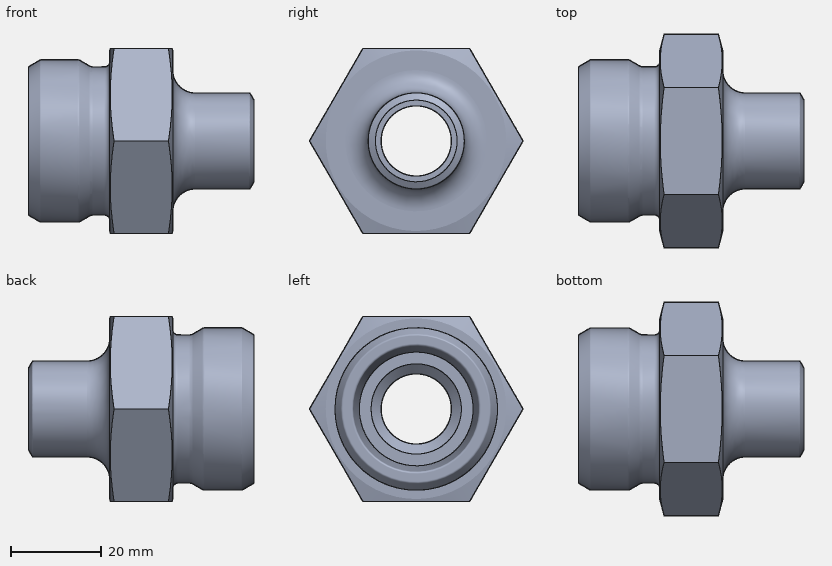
import cadquery as cq
import math

length = 50.0
shoulder_end = 11.2
hex_start = 18.0
hex_end = 32.0

across_flats = 41.0
across_corners = across_flats / math.cos(math.radians(30))
hex_face_diameter = 40.0
hex_chamfer_angle = 15.0
turning_clearance = 0.5

wide_radius = 36.0 / 2
groove_radius = 32.9 / 2
cone_angle = 30.0
wide_cone = (wide_radius - groove_radius) / math.tan(math.radians(cone_angle))
mouth_edge_round = 0.5
front_edge_round = 0.4
rear_edge_round = 0.8
groove_round = 1.2
hex_root_round = 1.1

spigot_radius = 21.3 / 2
spigot_tip_radius = 18.1 / 2
spigot_bevel = (spigot_radius - spigot_tip_radius) * math.tan(math.radians(cone_angle))
spigot_root_round = 5.0
spigot_edge_round = 0.4

mouth_radius = 28.0 / 2
socket_radius = 25.2 / 2
socket_depth = 12.0
taper_half_angle = 12.0
taper_length = (mouth_radius - socket_radius) / math.tan(math.radians(taper_half_angle))
funnel_radius = 20.0 / 2
bore_radius = 15.5 / 2
funnel_half_angle = 45.0
funnel_length = (funnel_radius - bore_radius) / math.tan(math.radians(funnel_half_angle))
mouth_lip_round = 0.5

selection_margin = 0.005


def revolve_about_x(points):
    """Revolve a closed (x, radius) outline about the X axis."""
    return cq.Workplane("XY").polyline(points).close().revolve(360, (0, 0, 0), (1, 0, 0))


def round_ring(body, x, radius, size):
    """Round the circular edge of the given radius centred at x on the axis."""
    ring = cq.selectors.BoxSelector(
        (x - selection_margin, -radius - selection_margin, -radius - selection_margin),
        (x + selection_margin, radius + selection_margin, radius + selection_margin),
        boundingbox=True,
    )
    return body.edges(ring).edges(cq.selectors.RadiusNthSelector(-1)).fillet(size)


def make_hexagon():
    """Hexagon with flats facing Z, its corners turned down by a cone at both ends."""
    prism = (
        cq.Workplane("YZ", origin=(hex_start, 0, 0))
        .polygon(6, across_corners)
        .extrude(hex_end - hex_start)
    )
    face_radius = hex_face_diameter / 2
    turning_radius = across_corners / 2 + turning_clearance
    drop = (turning_radius - face_radius) * math.tan(math.radians(hex_chamfer_angle))
    envelope = revolve_about_x([
        (hex_start, 0),
        (hex_start, face_radius),
        (hex_start + drop, turning_radius),
        (hex_end - drop, turning_radius),
        (hex_end, face_radius),
        (hex_end, 0),
    ])
    return prism.intersect(envelope)


def make_turned_body():
    """Wide connector, relief groove and spigot, with sharp edges."""
    return revolve_about_x([
        (0, 0),
        (0, groove_radius),
        (wide_cone, wide_radius),
        (shoulder_end, wide_radius),
        (shoulder_end + wide_cone, groove_radius),
        (hex_start, groove_radius),
        (hex_end, spigot_radius),
        (length - spigot_bevel, spigot_radius),
        (length, spigot_tip_radius),
        (length, 0),
    ])


def make_bore():
    """Tapered socket, flat seat, funnel and through bore."""
    return revolve_about_x([
        (0, 0),
        (0, mouth_radius),
        (taper_length, socket_radius),
        (socket_depth, socket_radius),
        (socket_depth, funnel_radius),
        (socket_depth + funnel_length, bore_radius),
        (length, bore_radius),
        (length, 0),
    ])


body = make_turned_body().union(make_hexagon())
outer_rounds = [
    (0, groove_radius, mouth_edge_round),
    (wide_cone, wide_radius, front_edge_round),
    (shoulder_end, wide_radius, rear_edge_round),
    (shoulder_end + wide_cone, groove_radius, groove_round),
    (hex_start, groove_radius, hex_root_round),
    (hex_end, spigot_radius, spigot_root_round),
    (length - spigot_bevel, spigot_radius, spigot_edge_round),
]
for ring_x, ring_radius, ring_round in outer_rounds:
    body = round_ring(body, ring_x, ring_radius, ring_round)

body = body.cut(make_bore())
result = round_ring(body, 0, mouth_radius, mouth_lip_round)